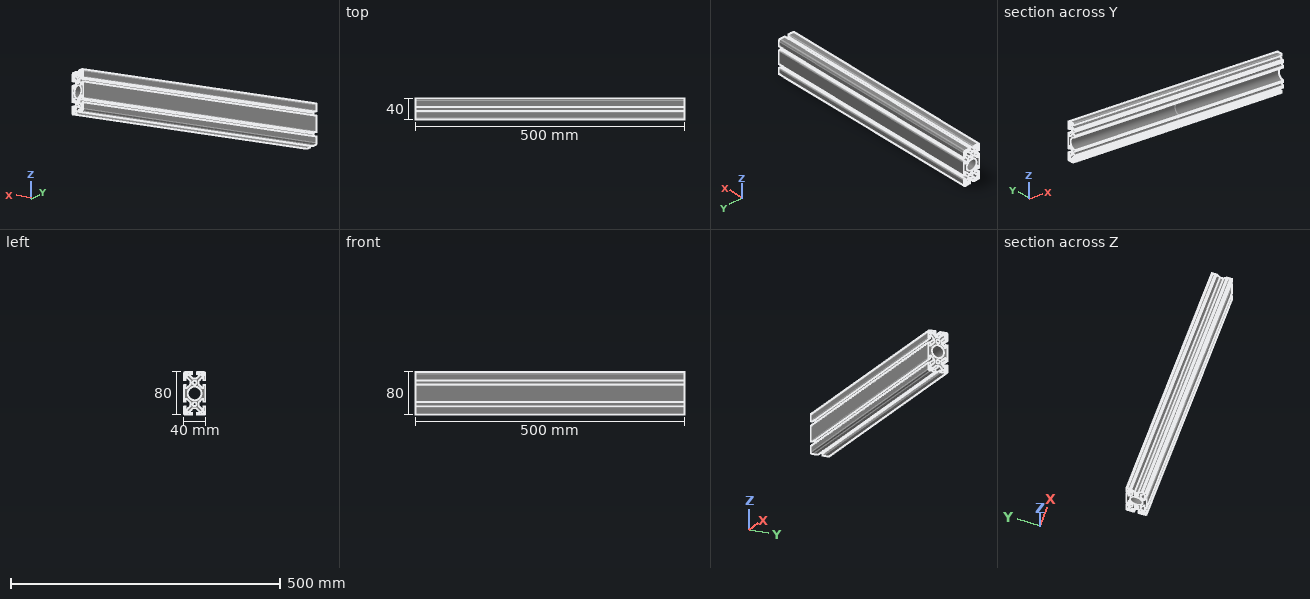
import cadquery as cq
import math

length = 500.0
width = 40.0
height = 2 * width
corner_radius = 3.5

mouth_half_width = 4.1
mouth_radius = 1.0
lip_thickness = 4.0
cavity_width = 20.0
core_width = 16.0
arm_thickness = 6.5

central_bore = 25.0
core_bore = 7.0
corner_bore = 4.0
corner_bore_inset = 5.0

cell_offset = width / 2


def extrude_centred(profile):
    return profile.extrude(length / 2, both=True)


def outer_body():
    body = extrude_centred(cq.Workplane("YZ").rect(width, height))
    return body.edges("|X").fillet(corner_radius)


def slot():
    """T-slot of one cell centred on the origin, opening toward +Z."""
    face = width / 2
    lip_underside = face - lip_thickness
    half_cavity = cavity_width / 2
    core_face = core_width / 2
    flank_shift = arm_thickness / 2 * math.sqrt(2)
    rounding_start = face - mouth_radius
    rounding_edge = mouth_half_width + mouth_radius
    arc_inset = mouth_radius * (1 - math.sqrt(0.5))
    arc_y = mouth_half_width + arc_inset
    arc_z = face - arc_inset

    right_wall = [
        (mouth_half_width, lip_underside),
        (half_cavity, lip_underside),
        (half_cavity, half_cavity + flank_shift),
        (core_face - flank_shift, core_face),
    ]
    left_wall = [(-y, z) for y, z in reversed(right_wall)]
    profile = (
        cq.Workplane("YZ")
        .moveTo(rounding_edge, face)
        .threePointArc((arc_y, arc_z), (mouth_half_width, rounding_start))
        .polyline(right_wall + left_wall, includeCurrent=True)
        .lineTo(-mouth_half_width, rounding_start)
        .threePointArc((-arc_y, arc_z), (-rounding_edge, face))
        .close()
    )
    return extrude_centred(profile)


def bores(diameter, centres):
    return extrude_centred(cq.Workplane("YZ").pushPoints(centres).circle(diameter / 2))


result = outer_body()

for cell_z, end_angle in ((cell_offset, 0), (-cell_offset, 180)):
    for angle in (90, -90, end_angle):
        turned = slot().rotate((0, 0, 0), (1, 0, 0), angle)
        result = result.cut(turned.translate((0, 0, cell_z)))

corner_y = width / 2 - corner_bore_inset
corner_z = height / 2 - corner_bore_inset
corners = [(y, z) for y in (-corner_y, corner_y) for z in (-corner_z, corner_z)]

result = result.cut(bores(central_bore, [(0, 0)]))
result = result.cut(bores(core_bore, [(0, -cell_offset), (0, cell_offset)]))
result = result.cut(bores(corner_bore, corners))